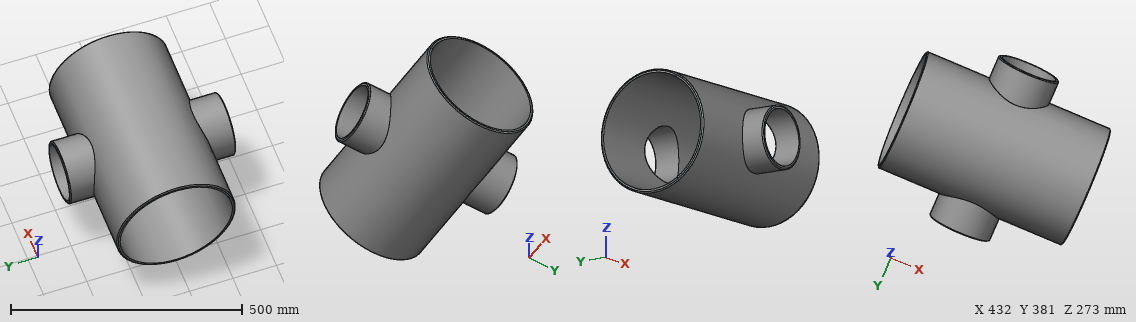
import cadquery as cq

run_length = 432.0
run_diameter = 273.0
run_bore = 258.2

branch_span = 381.0
branch_diameter = 141.0
branch_bore = 126.0

bevel_length = 2.0
bevel_depth = 3.0


def bevelled_cylinder(plane, diameter, length):
    """Solid cylinder centred on the origin, bevelled to a cone at both ends."""
    radius = diameter / 2
    half = length / 2
    tip_radius = radius - bevel_depth
    profile = (
        cq.Workplane("XY")
        .moveTo(0, -half)
        .lineTo(tip_radius, -half)
        .lineTo(radius, bevel_length - half)
        .lineTo(radius, half - bevel_length)
        .lineTo(tip_radius, half)
        .lineTo(0, half)
        .close()
    )
    along_y = profile.revolve(360, (0, 0, 0), (0, 1, 0))
    if plane == "YZ":
        return along_y.rotate((0, 0, 0), (0, 0, 1), 90)
    return along_y


def bore(plane, diameter, length):
    """Cylindrical passage centred on the origin, normal to the plane."""
    return cq.Workplane(plane).circle(diameter / 2).extrude(length / 2, both=True)


outside = bevelled_cylinder("YZ", run_diameter, run_length).union(
    bevelled_cylinder("XZ", branch_diameter, branch_span)
)
result = outside.cut(bore("YZ", run_bore, run_length)).cut(
    bore("XZ", branch_bore, branch_span)
)